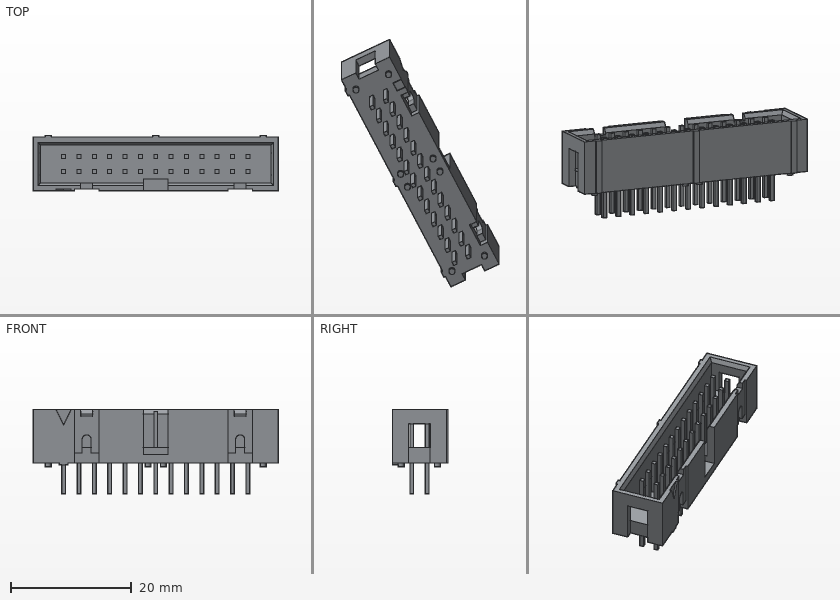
import cadquery as cq

length = 40.6
width = 8.95
height = 8.9
floor_top = 2.6
front = -width / 2
back = width / 2

end_wall = 1.2
side_wall = 1.35
lead_in_run = 0.45
lead_in_depth = 0.75
cavity_length = length - 2 * end_wall
cavity_width = width - 2 * side_wall

pins_per_row = 13
pin_row_length = 30.5
pitch = pin_row_length / (pins_per_row - 1)
pin_size = 0.65
pin_tip = 8.53
pin_tail = 5.08
first_pin_x = -pin_row_length / 2
pin_xs = [first_pin_x + i * pitch for i in range(pins_per_row)]
pin_row_ys = (-pitch / 2, pitch / 2)

end_window_width = 3.57
end_window_top = 6.5

key_width = 4.05
key_depth = 2.0
key_bottom = 1.42

clip_xs = ((pin_xs[1] + pin_xs[2]) / 2, (pin_xs[-2] + pin_xs[-1]) / 2)
clip_width = 4.0
clip_depth = 0.32
clip_foot_height = 1.65
clip_notch_width = 2.0
clip_notch_depth = 1.1
clip_arch_width = 1.5
clip_arch_top = 4.65

mark_width = 2.5
mark_height = 2.55
mark_depth = 0.3
pad_size = 1.5
pad_height = 0.3

standoff_diameter = 1.0
standoff_height = 0.6
standoff_y = 3.0
outer_station_x = 17.8
standoff_xs = (-outer_station_x, -pitch / 2, pitch / 2, outer_station_x)
rib_xs = (-outer_station_x, 0, outer_station_x)
rib_width = 1.0
rib_depth = 0.3


def block(x_size, y_size, z_size, x, y, z):
    """Box centred on x, with its front face at y and its underside at z."""
    return cq.Workplane("XY").box(x_size, y_size, z_size, centered=(True, False, False)).translate((x, y, z))


def cavity():
    straight = block(cavity_length, cavity_width, height - floor_top, 0, -cavity_width / 2, floor_top)
    lead_in = (
        cq.Workplane("XY", origin=(0, 0, height - lead_in_depth))
        .rect(cavity_length, cavity_width)
        .workplane(offset=lead_in_depth)
        .rect(cavity_length + 2 * lead_in_run, cavity_width + 2 * lead_in_run)
        .loft(ruled=True)
    )
    return straight.union(lead_in)


def end_window(side):
    x = side * (length - end_wall) / 2
    return block(end_wall, end_window_width, end_window_top, x, -end_window_width / 2, 0)


def clip_station(x):
    """Full-height recess with a rim notch, an arched opening and a deeper foot."""
    recess = block(clip_width, clip_depth, height, x, front, 0)
    notch = block(clip_notch_width, side_wall, clip_notch_depth, x, front, height - clip_notch_depth)
    foot = block(clip_width, side_wall, clip_foot_height, x, front, 0)
    arch_radius = clip_arch_width / 2
    spring_line = clip_arch_top - arch_radius
    arch = (
        cq.Workplane("XZ", origin=(x, front, 0))
        .moveTo(-arch_radius, 0)
        .lineTo(arch_radius, 0)
        .lineTo(arch_radius, spring_line)
        .threePointArc((0, clip_arch_top), (-arch_radius, spring_line))
        .close()
        .extrude(-side_wall)
    )
    return recess.union(notch).union(foot).union(arch)


def pin_one_triangle():
    return (
        cq.Workplane("XZ", origin=(first_pin_x, front, height))
        .polyline([(-mark_width / 2, 0), (mark_width / 2, 0), (0, -mark_height)])
        .close()
        .extrude(-mark_depth)
    )


def standoffs():
    centres = [(x, y) for x in standoff_xs for y in (-standoff_y, standoff_y)]
    return cq.Workplane("XY").pushPoints(centres).circle(standoff_diameter / 2).extrude(-standoff_height)


def pins():
    centres = [(x, y) for x in pin_xs for y in pin_row_ys]
    return (
        cq.Workplane("XY", origin=(0, 0, -pin_tail))
        .pushPoints(centres)
        .rect(pin_size, pin_size)
        .extrude(pin_tail + pin_tip)
    )


housing = block(length, width, height, 0, front, 0).cut(cavity())
for end_side in (-1, 1):
    housing = housing.cut(end_window(end_side))
housing = housing.cut(block(key_width, key_depth, height - key_bottom, 0, front, key_bottom))
for clip_x in clip_xs:
    housing = housing.cut(clip_station(clip_x))
housing = housing.cut(pin_one_triangle())

for rib_x in rib_xs:
    housing = housing.union(block(rib_width, rib_depth, height, rib_x, back, 0))
housing = housing.union(block(pad_size, pad_size, pad_height, first_pin_x, front, -pad_height))

result = housing.union(standoffs()).union(pins())